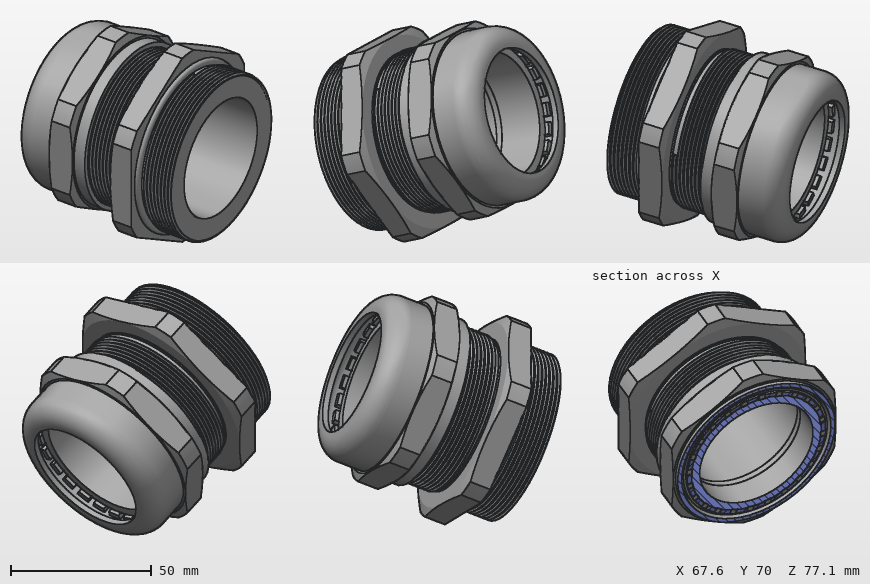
import cadquery as cq
import math


FRONT_THREAD_LENGTH = 22.6
FRONT_THREAD_TURNS = 15
THREAD_PITCH = FRONT_THREAD_LENGTH / FRONT_THREAD_TURNS
THREAD_HEIGHT = 0.9
CREST_WIDTH = 0.1
RIDGE_WIDTH = 1.1
ROOT_OVERLAP = 0.15

TOTAL_LENGTH = 67.6
BODY_FRONT = 15.4
FRONT_CORE_DIA = 57.4
COLLAR_DIA = 58.0
COLLAR_X = 43.6
FLANGE_FRONT = 44.3
FLANGE_BACK = 53.4
FLANGE_FLATS = 70.0
FLANGE_CORNERS = 77.1
REAR_CORE_DIA = 61.2
BODY_BORE_DIA = 45.25
FRONT_THREAD_END = 42.8
FRONT_THREAD_END_ANGLE = 17
REAR_THREAD_START = 55.95
REAR_THREAD_START_ANGLE = 90

CHAMFER_LENGTH = 1.15
FACE_INSET = 0.1

NUT_DIA = 63.05
NUT_LENGTH = 30.8
NUT_CAVITY_DIA = 59.35
NUT_OPENING_DIA = 45.25
LIP_THICKNESS = 2.2
DOME_RADIUS = 7.2
NUT_HEX_FRONT = 16.0
NUT_HEX_BACK = 26.2
NUT_FLATS = 64.9
NUT_CORNERS = 70.75

CAGE_FRONT = 6.4
CAGE_DIA = 55.5
CLAW_COUNT = 24
FIRST_SLOT_ANGLE = 5
SLOT_WIDTH = 2.3
SLOT_END = 14.65

SEAL_FRONT = 7.9
SEAL_DIA = 51.55
SEAL_BORE_DIA = 45.0
SEAL_RELIEF_DIA = 45.2
SEAL_RELIEF_X = 24.35
SEAT_X = 26.75

GASKET_DIA = 66.0
GASKET_WIDTH = 1.5
GASKET_ROUNDING = 1.2


def cylinder(x_start, x_end, diameter):
    """Solid cylinder along X."""
    return cq.Workplane("YZ", origin=(x_start, 0, 0)).circle(diameter / 2).extrude(x_end - x_start)


def tube(x_start, x_end, outer_diameter, inner_diameter):
    """Plain ring along X."""
    return cylinder(x_start, x_end, outer_diameter).cut(cylinder(x_start, x_end, inner_diameter))


def revolve_about_x(outline):
    """Turn an outline drawn in (x, radius) about the X axis."""
    return outline.close().revolve(360, (0, 0, 0), (1, 0, 0))


def hexagon(x_front, x_back, across_flats, across_corners, chamfer_back):
    """Hexagon with flats on +/-Y, rounded corners and conical end chamfers."""
    corner_radius = across_corners / 2
    face_radius = across_flats / 2 - FACE_INSET
    prism = (
        cq.Workplane("YZ", origin=(x_front, 0, 0))
        .polygon(6, across_flats / math.cos(math.pi / 6))
        .extrude(x_back - x_front)
        .rotate((0, 0, 0), (1, 0, 0), 90)
    )
    envelope = (
        cq.Workplane("XY")
        .moveTo(x_front, 0)
        .lineTo(x_front, face_radius)
        .lineTo(x_front + CHAMFER_LENGTH, corner_radius)
    )
    if chamfer_back:
        envelope = envelope.lineTo(x_back - CHAMFER_LENGTH, corner_radius).lineTo(x_back, face_radius)
    else:
        envelope = envelope.lineTo(x_back, corner_radius)
    return prism.intersect(revolve_about_x(envelope.lineTo(x_back, 0)))


def thread_ridge(x_start, start_angle, turns, core_diameter):
    """Right-handed helical ridge; start_angle is measured from +Y towards +Z."""
    core_radius = core_diameter / 2
    half_crest = CREST_WIDTH / 2
    flank_slope = (RIDGE_WIDTH - CREST_WIDTH) / 2 / THREAD_HEIGHT
    half_base = RIDGE_WIDTH / 2 + ROOT_OVERLAP * flank_slope
    base_radius = core_radius - ROOT_OVERLAP
    crest_radius = core_radius + THREAD_HEIGHT
    path = cq.Wire.makeHelix(THREAD_PITCH, THREAD_PITCH * turns, core_radius)
    ridge = (
        cq.Workplane("XZ")
        .moveTo(base_radius, -half_base)
        .lineTo(crest_radius, -half_crest)
        .lineTo(crest_radius, half_crest)
        .lineTo(base_radius, half_base)
        .close()
        .sweep(cq.Workplane(obj=path), isFrenet=True)
    )
    return (
        ridge.rotate((0, 0, 0), (0, 1, 0), 90)
        .rotate((0, 0, 0), (1, 0, 0), start_angle + 90)
        .translate((x_start, 0, 0))
    )


def make_body():
    front_ridge = thread_ridge(
        FRONT_THREAD_END - FRONT_THREAD_LENGTH,
        FRONT_THREAD_END_ANGLE,
        FRONT_THREAD_TURNS,
        FRONT_CORE_DIA,
    )
    rear_turns = math.ceil((TOTAL_LENGTH - REAR_THREAD_START) / THREAD_PITCH) + 1
    rear_ridge = thread_ridge(
        REAR_THREAD_START, REAR_THREAD_START_ANGLE, rear_turns, REAR_CORE_DIA
    ).intersect(cylinder(FLANGE_BACK, TOTAL_LENGTH, FLANGE_CORNERS))
    front_spigot = cylinder(BODY_FRONT, FLANGE_FRONT, FRONT_CORE_DIA).union(front_ridge)
    rear_spigot = cylinder(FLANGE_BACK, TOTAL_LENGTH, REAR_CORE_DIA).union(rear_ridge)
    return (
        hexagon(FLANGE_FRONT, FLANGE_BACK, FLANGE_FLATS, FLANGE_CORNERS, chamfer_back=False)
        .union(cylinder(COLLAR_X, FLANGE_FRONT, COLLAR_DIA))
        .union(front_spigot)
        .union(rear_spigot)
        .cut(cylinder(BODY_FRONT, TOTAL_LENGTH, BODY_BORE_DIA))
        .cut(cylinder(BODY_FRONT, SEAT_X, CAGE_DIA))
    )


def make_cap_nut():
    """Domed nut with a hexagon band; the cavity end is rounded to follow the dome."""
    dome = cylinder(0, NUT_LENGTH, NUT_DIA).faces("<X").edges().fillet(DOME_RADIUS)
    cavity = (
        cylinder(LIP_THICKNESS, NUT_LENGTH, NUT_CAVITY_DIA)
        .faces("<X")
        .edges()
        .fillet(DOME_RADIUS - LIP_THICKNESS)
    )
    return (
        dome.union(hexagon(NUT_HEX_FRONT, NUT_HEX_BACK, NUT_FLATS, NUT_CORNERS, chamfer_back=True))
        .cut(cavity)
        .cut(cylinder(0, LIP_THICKNESS, NUT_OPENING_DIA))
    )


def make_cage():
    """Ring whose front part is slotted into separate claws."""
    cage = tube(CAGE_FRONT, SEAT_X, CAGE_DIA, SEAL_DIA)
    slot = cq.Workplane("XY", origin=(CAGE_FRONT, 0, 0)).box(
        SLOT_END - CAGE_FRONT, CAGE_DIA / 2, SLOT_WIDTH, centered=(False, False, True)
    )
    for index in range(CLAW_COUNT):
        slot_angle = FIRST_SLOT_ANGLE + index * 360 / CLAW_COUNT
        cage = cage.cut(slot.rotate((0, 0, 0), (1, 0, 0), slot_angle))
    return cage


def make_seal():
    return tube(SEAL_FRONT, SEAT_X, SEAL_DIA, SEAL_BORE_DIA).cut(
        cylinder(SEAL_RELIEF_X, SEAT_X, SEAL_RELIEF_DIA)
    )


def make_gasket():
    """Ring around the rear core, rounded at its outer rear edge."""
    gasket_back = FLANGE_BACK + GASKET_WIDTH
    ring = cylinder(FLANGE_BACK, gasket_back, GASKET_DIA).faces(">X").edges().fillet(GASKET_ROUNDING)
    return ring.cut(cylinder(FLANGE_BACK, gasket_back, REAR_CORE_DIA))


body = make_body()
cap_nut = make_cap_nut()
cage = make_cage()
seal = make_seal()
gasket = make_gasket()

result = cq.Compound.makeCompound(
    [body.val(), cap_nut.val(), cage.val(), seal.val(), gasket.val()]
)